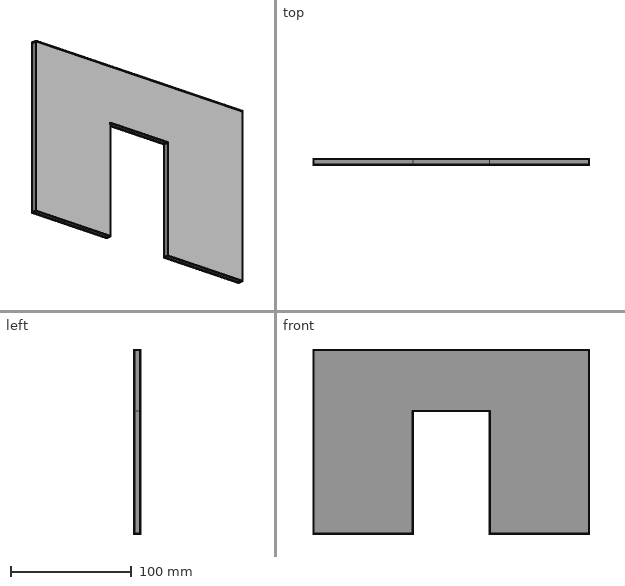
import cadquery as cq

plate_width = 228.6
plate_thickness = 5.08
plate_height = 152.4

notch_width = 63.5
notch_height = 101.6


def make_plate():
    """Flat plate centred on the origin."""
    return cq.Workplane("XY").box(plate_width, plate_thickness, plate_height)


def make_notch():
    """Block that cuts the notch through the full plate thickness."""
    notch_center_z = (notch_height - plate_height) / 2
    block = cq.Workplane("XY").box(notch_width, plate_thickness, notch_height)
    return block.translate((0, 0, notch_center_z))


result = make_plate().cut(make_notch())